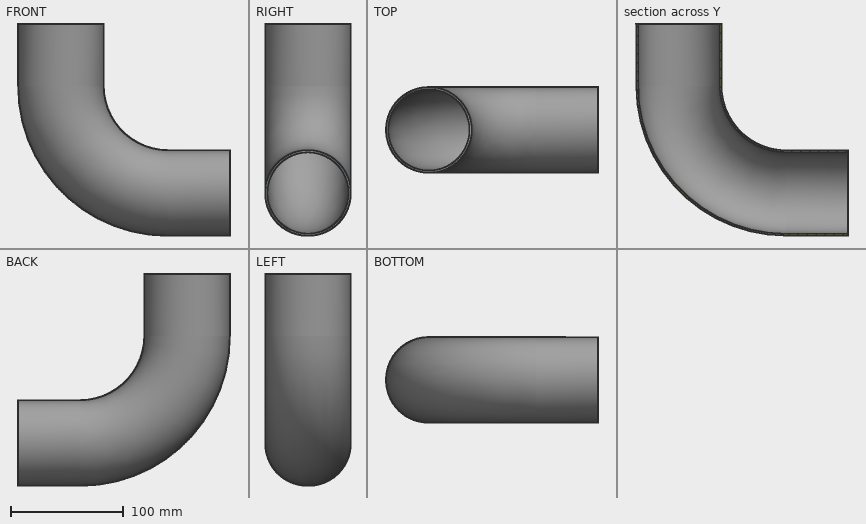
import cadquery as cq

overall_size = 188.0
outer_diameter = 76.2
wall_thickness = 2.0
bend_radius = 95.0

outer_radius = outer_diameter / 2
inner_radius = outer_radius - wall_thickness
straight_length = overall_size - outer_radius - bend_radius


def pipe_ring():
    """Ring-shaped pipe section in the XY plane, centred on the vertical leg."""
    return cq.Workplane("XY").circle(outer_radius).circle(inner_radius)


vertical_leg = pipe_ring().extrude(straight_length)

elbow = pipe_ring().revolve(90, (bend_radius, 1.9, 0), (bend_radius, 0, 0))

horizontal_leg = (
    cq.Workplane("YZ", origin=(bend_radius, 0, -bend_radius))
    .circle(outer_radius)
    .circle(inner_radius)
    .extrude(straight_length)
)

result = vertical_leg.union(elbow).union(horizontal_leg)